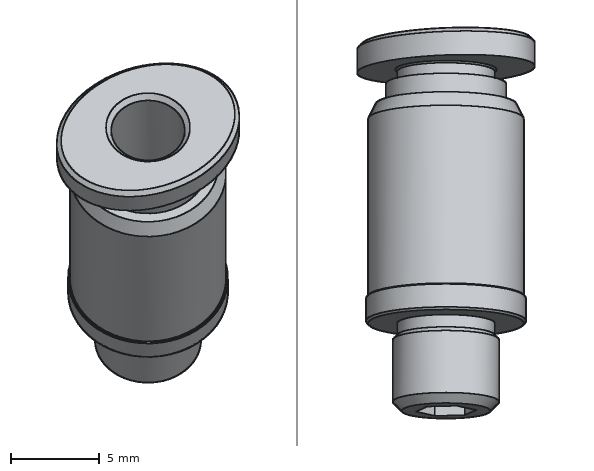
import cadquery as cq
import math

total_height = 21.1
thread_top = 4.3
flange_bottom = 5.0
flange_top = 6.5
body_top = 17.51
collar_top = 18.67
head_bottom = 19.5

thread_radius = 3.0
neck_radius = 2.75
flange_diameter = 9.0
flange_radius = flange_diameter / 2
body_radius = 4.39
collar_radius = 3.4

thread_tip_chamfer = 0.5
thread_top_chamfer = 0.25
flange_chamfer = 0.13
flange_top_chamfer = 0.06
body_cone_height = 0.85
body_cone_inset = 0.42
neck_flare = 0.1
head_chamfer = 0.25

head_half_x = 4.28
head_half_y = 5.4

bore_radius = 2.07
bore_chamfer = 0.3
bore_floor = 6.33
hex_across_flats = 2.95
hex_across_corners = hex_across_flats / math.cos(math.pi / 6)


def turned_body():
    """Thread, flange, body, collar and upper neck as one revolved (radius, height) outline."""
    outline = [
        (0, 0),
        (thread_radius - thread_tip_chamfer, 0),
        (thread_radius, thread_tip_chamfer),
        (thread_radius, thread_top - thread_top_chamfer),
        (neck_radius, thread_top),
        (neck_radius, flange_bottom),
        (flange_radius - flange_chamfer, flange_bottom),
        (flange_radius, flange_bottom + flange_chamfer),
        (flange_radius, flange_top - flange_top_chamfer),
        (flange_radius - flange_top_chamfer, flange_top),
        (body_radius, flange_top),
        (body_radius, body_top - body_cone_height),
        (body_radius - body_cone_inset, body_top),
        (collar_radius, body_top),
        (collar_radius, collar_top),
        (neck_radius, collar_top),
        (neck_radius, head_bottom - neck_flare),
        (neck_radius + neck_flare, head_bottom),
        (0, head_bottom),
    ]
    return cq.Workplane("XZ").polyline(outline).close().revolve(360, (0, 0, 0), (0, 1, 0))


def release_head():
    """Elliptical push head with a chamfered top rim."""
    head = (
        cq.Workplane("XY")
        .workplane(offset=head_bottom)
        .ellipse(head_half_x, head_half_y)
        .extrude(total_height - head_bottom)
    )
    return head.faces(">Z").edges().chamfer(head_chamfer)


def tube_bore():
    """Round bore from the top, widened by a conical lead-in at the mouth."""
    outline = [
        (0, bore_floor),
        (bore_radius, bore_floor),
        (bore_radius, total_height - bore_chamfer),
        (bore_radius + bore_chamfer, total_height),
        (0, total_height),
    ]
    return cq.Workplane("XZ").polyline(outline).close().revolve(360, (0, 0, 0), (0, 1, 0))


def hex_socket():
    """Hexagonal passage from the threaded end up to the bore, with corners on the X axis."""
    return cq.Workplane("XY").polygon(6, hex_across_corners).extrude(bore_floor)


result = turned_body().union(release_head()).cut(tube_bore()).cut(hex_socket())